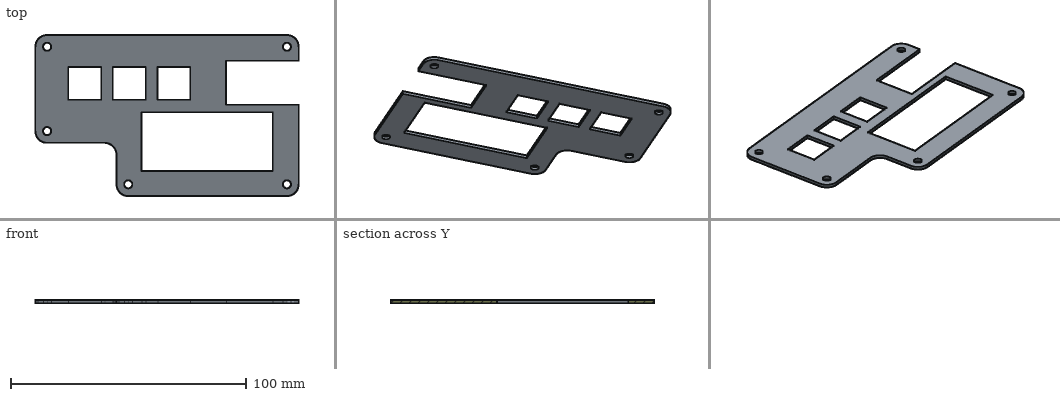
import cadquery as cq

length = 112.0
width = 68.5
thickness = 1.5
corner_radius = 5.0

step_length = 34.5
step_width = 22.6

screw_diameter = 3.4
screw_inset = corner_radius

key_count = 3
key_size = 13.9
key_pitch = 18.9
key_left = 14.1
key_top = width - 13.7

slot_depth = 30.9
slot_width = 18.6
slot_top = width - 11.1

window_length = 55.7
window_width = 24.9
window_left = 45.2
window_bottom = 10.8


def rectangle_cutter(left, bottom, size_x, size_y):
    """Block through the full plate thickness, placed by its lower left corner."""
    return cq.Workplane("XY").box(size_x, size_y, thickness, centered=False).translate((left, bottom, 0))


def make_plate():
    """Stepped plate with every vertical edge rounded, including the inner corner."""
    outline = [
        (step_length, 0),
        (length, 0),
        (length, width),
        (0, width),
        (0, step_width),
        (step_length, step_width),
    ]
    plate = cq.Workplane("XY").polyline(outline).close().extrude(thickness)
    return plate.edges("|Z").fillet(corner_radius)


def cut_screw_holes(plate):
    right = length - screw_inset
    top = width - screw_inset
    centers = [
        (screw_inset, top),
        (right, top),
        (right, screw_inset),
        (step_length + screw_inset, screw_inset),
        (screw_inset, step_width + screw_inset),
    ]
    cutters = cq.Workplane("XY").pushPoints(centers).circle(screw_diameter / 2).extrude(thickness)
    return plate.cut(cutters)


def cut_key_openings(plate):
    for index in range(key_count):
        left = key_left + index * key_pitch
        plate = plate.cut(rectangle_cutter(left, key_top - key_size, key_size, key_size))
    return plate


def cut_slot(plate):
    return plate.cut(rectangle_cutter(length - slot_depth, slot_top - slot_width, slot_depth, slot_width))


def cut_window(plate):
    return plate.cut(rectangle_cutter(window_left, window_bottom, window_length, window_width))


result = make_plate()
result = cut_screw_holes(result)
result = cut_key_openings(result)
result = cut_slot(result)
result = cut_window(result)